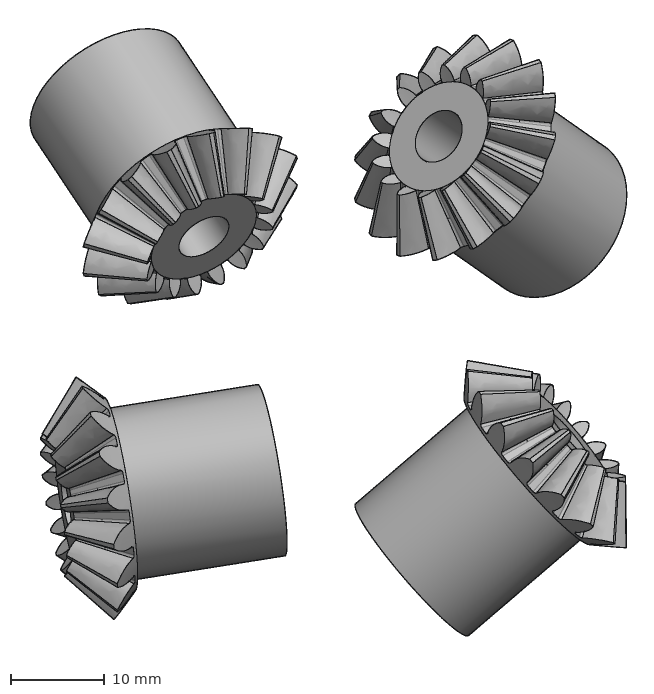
import math

import cadquery as cq

module = 1.5
tooth_count = 16
pitch_cone_angle = math.radians(45)
face_width = 7.0
apex_x = 30.0
addendum = module
dedendum = 1.2 * module

hub_diameter = 18.5
hub_length = 16.4
bore_diameter = 6.0

tip_half_width = 0.27
pitch_half_width = math.pi * module / 4
flank_foot_half_width = 1.38
flank_foot_height = -1.58
root_flat_half_width = 0.43

cutter_rise = 2 * module
cutter_end_margin = 0.2

cone_sin = math.sin(pitch_cone_angle)
cone_cos = math.cos(pitch_cone_angle)
pitch_radius = module * tooth_count / 2
cone_distance = pitch_radius / cone_sin
pitch_x = apex_x - cone_distance * cone_cos
inner_scale = 1 - face_width / cone_distance
tooth_pitch_angle = 360 / tooth_count


def back_cone_point(height, scale=1.0):
    """(X, radius) at a height above the pitch line, on the large end scaled toward the apex."""
    x = pitch_x + height * cone_sin
    radius = pitch_radius + height * cone_cos
    return apex_x + (x - apex_x) * scale, radius * scale


def make_blank():
    """Hub, back rim and toothless gear cone, with a flat front face at the root."""
    hub_radius = hub_diameter / 2
    rim_radius = pitch_radius - (pitch_x - hub_length) * cone_cos / cone_sin
    root_inner_x, root_inner_radius = back_cone_point(-dedendum, inner_scale)
    outline = [
        (0, 0),
        (0, hub_radius),
        (hub_length, hub_radius),
        (hub_length, rim_radius),
        back_cone_point(addendum),
        back_cone_point(addendum, inner_scale),
        (root_inner_x, root_inner_radius),
        (root_inner_x, 0),
    ]
    return cq.Workplane("XY").polyline(outline).close().revolve(360, (0, 0, 0), (1, 0, 0))


def space_edge_point(tooth_half_width, height):
    """Edge of a tooth space, projected from the apex onto the plane touching the back cone.

    Returns the sideways distance from the middle of the space and the height above the pitch line.
    """
    x, radius = back_cone_point(height)
    angle = math.pi / tooth_count - math.asin(tooth_half_width / radius)
    sideways = radius * math.sin(angle)
    outward = radius * math.cos(angle)
    axial = apex_x - x
    along_cone = axial * cone_cos + outward * cone_sin
    across_cone = outward * cone_cos - axial * cone_sin
    projection = cone_distance / along_cone
    return sideways * projection, across_cone * projection


def fillet_middle_point(start, end):
    """Middle of the arc that leaves the flat floor at start and rises tangentially to end."""
    run = end[0] - start[0]
    rise = end[1] - start[1]
    radius = (run**2 + rise**2) / (2 * rise)
    half_turn = math.atan2(rise, run)
    return start[0] + radius * math.sin(half_turn), start[1] + radius * (1 - math.cos(half_turn))


def space_section(scale):
    """Outline of a tooth space: flat floor, root fillets and arc flanks."""
    origin_x, origin_radius = back_cone_point(0, scale)
    plane = cq.Plane(
        origin=(origin_x, 0, origin_radius),
        xDir=(0, 1, 0),
        normal=(cone_cos, 0, -cone_sin),
    )
    floor_end = (root_flat_half_width, -dedendum)
    flank_foot = space_edge_point(flank_foot_half_width, flank_foot_height)
    edge_points = [
        floor_end,
        fillet_middle_point(floor_end, flank_foot),
        flank_foot,
        space_edge_point(pitch_half_width, 0),
        space_edge_point(tip_half_width, addendum),
    ]
    right = [(sideways * scale, height * scale) for sideways, height in edge_points]
    left = [(-sideways, height) for sideways, height in right]
    floor, fillet_middle, foot, middle, tip = right
    left_floor, left_fillet_middle, left_foot, left_middle, left_tip = left
    top = cutter_rise * scale
    outline = (
        cq.Workplane(plane)
        .moveTo(*left_floor)
        .lineTo(*floor)
        .threePointArc(fillet_middle, foot)
        .threePointArc(middle, tip)
        .lineTo(tip[0], top)
        .lineTo(left_tip[0], top)
        .lineTo(*left_tip)
        .threePointArc(left_middle, left_foot)
        .threePointArc(left_fillet_middle, left_floor)
        .close()
    )
    return outline.val()


def make_space_cutter():
    """Tooth space tapering toward the apex, longer than the face at both ends."""
    large_end = space_section(1 + cutter_end_margin)
    small_end = space_section(inner_scale - cutter_end_margin)
    return cq.Workplane(cq.Solid.makeLoft([large_end, small_end], True))


def cut_tooth_spaces(blank):
    space_cutter = make_space_cutter()
    gear = blank
    for index in range(tooth_count):
        turn = index * tooth_pitch_angle
        gear = gear.cut(space_cutter.rotate((0, 0, 0), (1, 0, 0), turn))
    return gear


def cut_bore(gear):
    """Plain bore through the whole length."""
    bore = cq.Workplane("YZ").circle(bore_diameter / 2).extrude(apex_x)
    return gear.cut(bore)


result = cut_bore(cut_tooth_spaces(make_blank()))